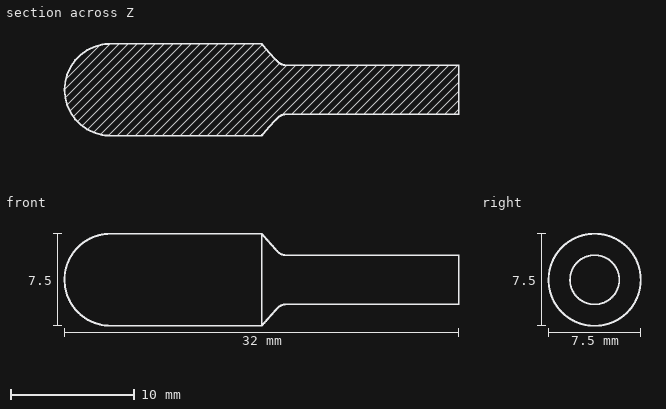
import cadquery as cq
import math

total_length = 32.0
body_diameter = 7.5
body_length = 16.0
shank_diameter = 4.0
neck_length = 2.0
neck_blend_radius = 1.0

body_radius = body_diameter / 2
shank_radius = shank_diameter / 2

tip_mid_x = body_radius * (1 - math.cos(math.pi / 4))
tip_mid_radius = body_radius * math.sin(math.pi / 4)

neck_end_x = body_length + neck_length
blend_center_radius = shank_radius + neck_blend_radius

center_drop = body_radius - blend_center_radius
center_distance = math.hypot(neck_length, center_drop)
taper_angle = math.atan2(center_drop, neck_length) + math.asin(neck_blend_radius / center_distance)


def blend_point(angle):
    """Point (X, radius) on the blend arc where its tangent slopes at the given angle to the axis."""
    return (
        neck_end_x - neck_blend_radius * math.sin(angle),
        blend_center_radius - neck_blend_radius * math.cos(angle),
    )


def half_profile():
    """Closed half section in the XZ plane, with the tip at X = 0 and Z as the radius."""
    return (
        cq.Workplane("XZ")
        .moveTo(0, 0)
        .threePointArc((tip_mid_x, tip_mid_radius), (body_radius, body_radius))
        .lineTo(body_length, body_radius)
        .lineTo(*blend_point(taper_angle))
        .threePointArc(blend_point(taper_angle / 2), blend_point(0))
        .lineTo(total_length, shank_radius)
        .lineTo(total_length, 0)
        .close()
    )


result = half_profile().revolve(360, (0, 0, 0), (1, 0, 0))